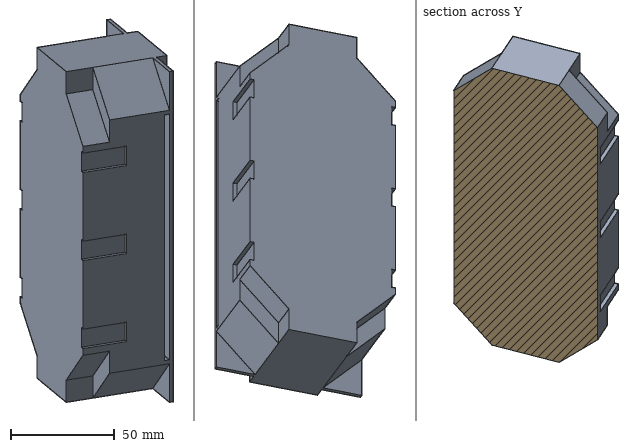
import cadquery as cq

WIDTH = 75.0
DEPTH = 53.0
HEIGHT = 171.0

CORNER_CUT = 20.0
STEP_DROP = 11.5
STEP_DEPTH = 14.0

PLATE_THICKNESS = 2.0
PLATE_BACK = 47.5
PLATE_FRONT = PLATE_BACK - PLATE_THICKNESS

SLIT_DEPTH = 2.5
SLIT_END_MARGIN = 22.0
SLIT_LENGTH = HEIGHT - 2 * SLIT_END_MARGIN

NOTCH_INSET = 2.0
NOTCH_DEPTH = 23.0
NOTCH_HEIGHT = 10.0
NOTCH_PITCH = 45.5

CENTER_WIDTH = WIDTH - 2 * CORNER_CUT
MID_HEIGHT = HEIGHT / 2


def centered_block(width, y_start, y_end, height):
    """Box centred in X and at mid height, spanning y_start to y_end."""
    return (
        cq.Workplane("XY")
        .box(width, y_end - y_start, height, centered=(True, False, True))
        .translate((0, y_start, MID_HEIGHT))
    )


def make_body():
    """Housing with its four corner edges bevelled at 45 degrees."""
    return centered_block(WIDTH, 0, PLATE_FRONT, HEIGHT).edges("|Y").chamfer(CORNER_CUT)


def make_front_step():
    """Front corner cutter: parallel facet set STEP_DROP further along the side."""
    side = WIDTH / 2
    inner = CENTER_WIDTH / 2
    facet_top = HEIGHT - STEP_DROP
    upper_right = (
        cq.Workplane("XZ")
        .polyline([
            (inner, HEIGHT),
            (side, HEIGHT),
            (side, facet_top - CORNER_CUT),
            (inner, facet_top),
        ])
        .close()
        .extrude(-STEP_DEPTH)
    )
    upper_pair = upper_right.union(upper_right.mirror("YZ"))
    return upper_pair.union(upper_pair.mirror("XY", (0, 0, MID_HEIGHT)))


def make_plate_and_tabs():
    """Full-size rear plate with a tab behind it at each end."""
    plate = centered_block(WIDTH, PLATE_FRONT, PLATE_BACK, HEIGHT)
    tabs = centered_block(CENTER_WIDTH, PLATE_BACK, DEPTH, HEIGHT)
    gap = centered_block(CENTER_WIDTH, PLATE_BACK, DEPTH, HEIGHT - 2 * CORNER_CUT)
    return plate.union(tabs.cut(gap))


def make_slit():
    """Through slit between the housing and the plate."""
    return centered_block(WIDTH, PLATE_FRONT - SLIT_DEPTH, PLATE_FRONT, SLIT_LENGTH)


def make_notches():
    """Three evenly spaced notches on each side."""
    notches = cq.Workplane("XY")
    for side in (-1, 1):
        x_center = side * (WIDTH - NOTCH_INSET) / 2
        for row in (-1, 0, 1):
            notch = centered_block(NOTCH_INSET, 0, NOTCH_DEPTH, NOTCH_HEIGHT)
            notches = notches.union(notch.translate((x_center, 0, row * NOTCH_PITCH)))
    return notches


result = (
    make_body()
    .cut(make_front_step())
    .union(make_plate_and_tabs())
    .cut(make_slit())
    .cut(make_notches())
)